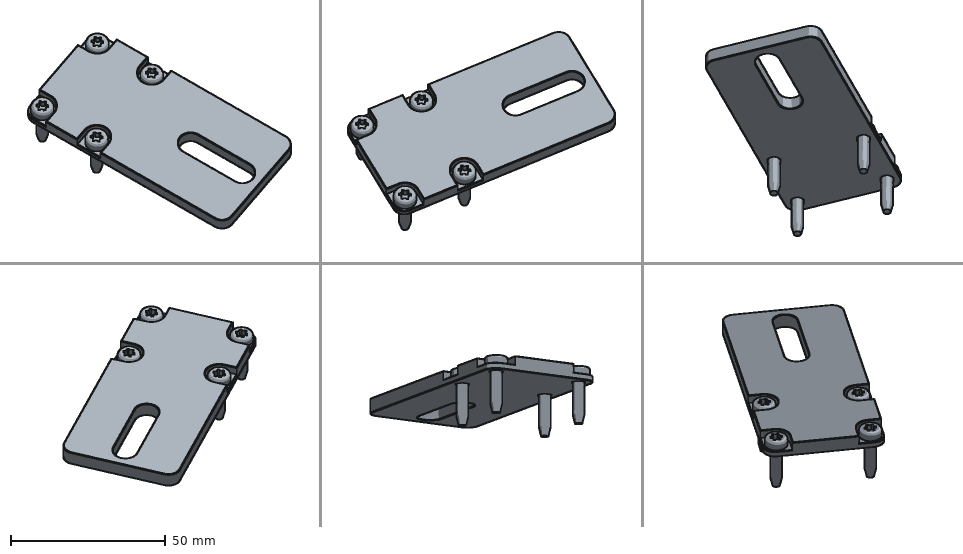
import cadquery as cq
import math

LENGTH = 80.0
WIDTH = 40.0
THICKNESS = 5.0
CORNER_RADIUS = 4.0
EDGE_CHAMFER = 0.25

SLOT_LENGTH = 28.5
SLOT_WIDTH = 8.0
SLOT_CENTER_X = 62.6

SCREW_INSET = 4.5
SCREW_PITCH = 21.5
SCREW_COLUMNS = (SCREW_INSET, SCREW_INSET + SCREW_PITCH)
SCREW_ROWS = (SCREW_INSET, WIDTH - SCREW_INSET)
SCREW_POINTS = [(x, y) for x in SCREW_COLUMNS for y in SCREW_ROWS]
CLEARANCE_DIAMETER = 4.5

POCKET_RADIUS = 4.6
POCKET_DEPTH = 2.9
POCKET_FLOOR_Z = THICKNESS - POCKET_DEPTH

HEAD_DIAMETER = 7.5
HEAD_HEIGHT = POCKET_DEPTH
HEAD_ROUNDING = 1.0
SHANK_DIAMETER = 3.9
OVERALL_HEIGHT = 18.6
SHANK_LENGTH = OVERALL_HEIGHT - HEAD_HEIGHT
TIP_DIAMETER = 2.5
TIP_LENGTH = 3.0

LOBE_COUNT = 6
FIRST_LOBE_ANGLE = 90.0
LOBE_OUTER_RADIUS = 2.0
LOBE_VALLEY_RADIUS = 1.4
LOBE_SHOULDER_RADIUS = 1.8
LOBE_HALF_ANGLE = 10.0
RECESS_DEPTH = 2.4


def rounded_slab(height):
    """Block with the plate's outline, standing on z = 0."""
    return (
        cq.Workplane("XY")
        .rect(LENGTH, WIDTH)
        .extrude(height)
        .edges("|Z")
        .fillet(CORNER_RADIUS)
        .translate((LENGTH / 2, WIDTH / 2, 0))
    )


def pocket_block(x_min, x_max, y_min, y_max):
    """Block from the pocket floor to the top of the plate."""
    return (
        cq.Workplane("XY", origin=(0, 0, POCKET_FLOOR_Z))
        .moveTo(x_min, y_min)
        .rect(x_max - x_min, y_max - y_min, centered=False)
        .extrude(POCKET_DEPTH)
    )


def head_pocket(x, y):
    """Round pocket about a screw, open to the long side and, near the end of the plate, to that end."""
    pocket = (
        cq.Workplane("XY", origin=(x, y, POCKET_FLOOR_Z))
        .circle(POCKET_RADIUS)
        .extrude(POCKET_DEPTH)
    )
    y_side = 0 if y < WIDTH / 2 else WIDTH
    y_span = (min(y, y_side), max(y, y_side))
    pocket = pocket.union(pocket_block(x - POCKET_RADIUS, x + POCKET_RADIUS, *y_span))
    if x == SCREW_INSET:
        y_inner = y + math.copysign(POCKET_RADIUS, y - y_side)
        y_span = (min(y_inner, y_side), max(y_inner, y_side))
        pocket = pocket.union(pocket_block(0, x, *y_span))
    return pocket


def make_plate():
    plate = rounded_slab(THICKNESS)

    slot = (
        cq.Workplane("XY")
        .center(SLOT_CENTER_X, WIDTH / 2)
        .slot2D(SLOT_LENGTH, SLOT_WIDTH)
        .extrude(THICKNESS)
    )
    plate = plate.cut(slot)

    pockets = [head_pocket(x, y) for x, y in SCREW_POINTS]
    for pocket in pockets:
        plate = plate.cut(pocket)
    plate = plate.faces(">Z or <Z").edges().chamfer(EDGE_CHAMFER)

    ledge_blank = rounded_slab(POCKET_FLOOR_Z)
    ledge_trim = ledge_blank.cut(ledge_blank.faces(">Z").chamfer(EDGE_CHAMFER))
    for pocket in pockets:
        rim = ledge_trim.intersect(pocket.translate((0, 0, -EDGE_CHAMFER)))
        plate = plate.cut(rim)

    screw_holes = (
        cq.Workplane("XY")
        .pushPoints(SCREW_POINTS)
        .circle(CLEARANCE_DIAMETER / 2)
        .extrude(THICKNESS)
    )
    return plate.cut(screw_holes)


def polar(radius, angle):
    """Point at a radius and an angle in degrees."""
    return (radius * math.cos(math.radians(angle)), radius * math.sin(math.radians(angle)))


def drive_recess():
    """Six-lobed prism with a lobe pointing along +Y, hanging down from the top of the head."""
    lobe_step = 360 / LOBE_COUNT
    outline = cq.Workplane("XY", origin=(0, 0, HEAD_HEIGHT)).moveTo(
        *polar(LOBE_SHOULDER_RADIUS, FIRST_LOBE_ANGLE - LOBE_HALF_ANGLE)
    )
    for i in range(LOBE_COUNT):
        lobe = FIRST_LOBE_ANGLE + i * lobe_step
        next_lobe = lobe + lobe_step
        outline = outline.threePointArc(
            polar(LOBE_OUTER_RADIUS, lobe),
            polar(LOBE_SHOULDER_RADIUS, lobe + LOBE_HALF_ANGLE),
        ).threePointArc(
            polar(LOBE_VALLEY_RADIUS, lobe + lobe_step / 2),
            polar(LOBE_SHOULDER_RADIUS, next_lobe - LOBE_HALF_ANGLE),
        )
    return outline.close().extrude(-RECESS_DEPTH)


def make_screw():
    """Screw standing on the Z axis, with the underside of its head at z = 0."""
    head = (
        cq.Workplane("XY")
        .circle(HEAD_DIAMETER / 2)
        .extrude(HEAD_HEIGHT)
        .faces(">Z")
        .edges()
        .fillet(HEAD_ROUNDING)
        .cut(drive_recess())
    )
    shank_radius = SHANK_DIAMETER / 2
    shank = (
        cq.Workplane("XZ")
        .lineTo(shank_radius, 0)
        .lineTo(shank_radius, TIP_LENGTH - SHANK_LENGTH)
        .lineTo(TIP_DIAMETER / 2, -SHANK_LENGTH)
        .lineTo(0, -SHANK_LENGTH)
        .close()
        .revolve(360, (0, 0, 0), (0, 1, 0))
    )
    return head.union(shank)


plate = make_plate()

screws = []
for x, y in SCREW_POINTS:
    screws.append(make_screw().translate((x, y, POCKET_FLOOR_Z)).val())

result = cq.Compound.makeCompound([plate.val(), *screws])